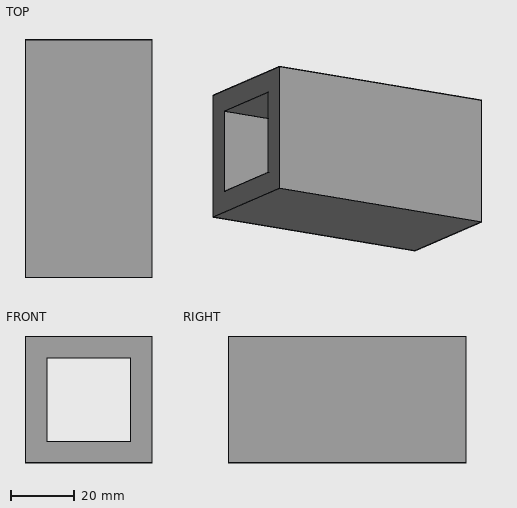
import cadquery as cq

length = 75.0
outer_side = 39.9
wall = 6.8
bore_side = outer_side - 2 * wall

body = cq.Workplane("XY").box(outer_side, length, outer_side)
bore = cq.Workplane("XY").box(bore_side, length, bore_side)

result = body.cut(bore)